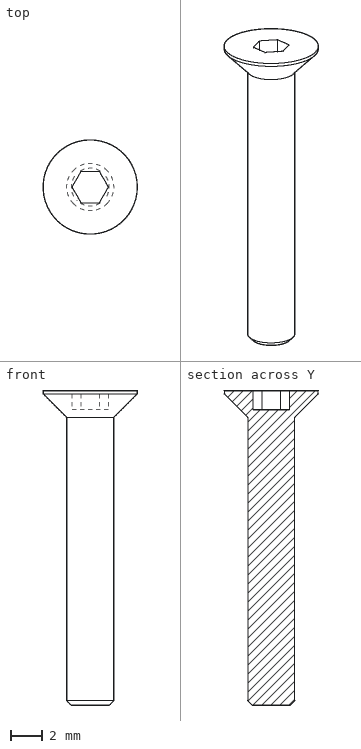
import cadquery as cq
import math

length = 20.0
head_diameter = 6.0
shank_diameter = 3.0
rim_height = 0.2
tip_chamfer = 0.3
socket_across_flats = 2.0
socket_depth = 1.2

head_radius = head_diameter / 2
shank_radius = shank_diameter / 2
cone_height = head_radius - shank_radius
head_height = rim_height + cone_height


def make_body():
    """Head, shank and chamfered tip, revolved from a half profile."""
    profile = [
        (0, 0),
        (head_radius, 0),
        (head_radius, -rim_height),
        (shank_radius, -head_height),
        (shank_radius, -length + tip_chamfer),
        (shank_radius - tip_chamfer, -length),
        (0, -length),
    ]
    return cq.Workplane("XZ").polyline(profile).close().revolve(360, (0, 0, 0), (0, 1, 0))


def make_socket():
    """Hexagonal drive recess with two corners on the X axis."""
    across_corners = socket_across_flats / math.cos(math.pi / 6)
    return cq.Workplane("XY").polygon(6, across_corners).extrude(-socket_depth)


result = make_body().cut(make_socket())